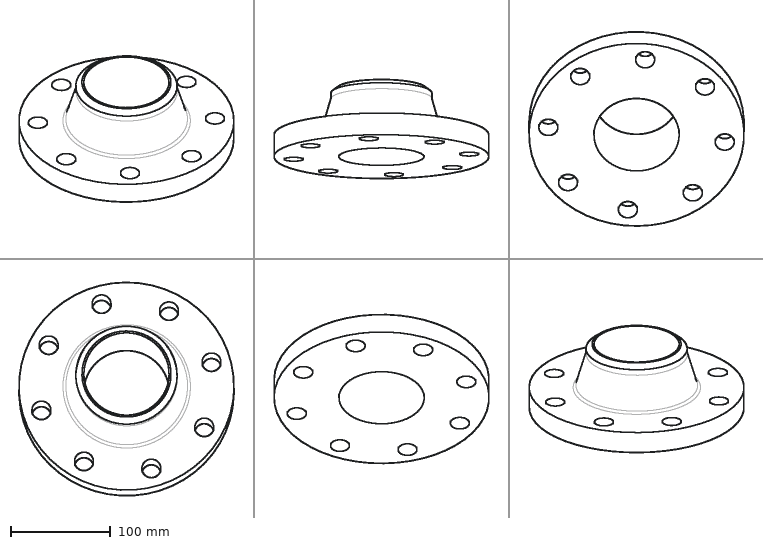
import cadquery as cq


FLANGE_DIAMETER = 215.8
FLANGE_THICKNESS = 22.2

TOTAL_HEIGHT = 70.0
BORE_DIAMETER = 85.5
PIPE_DIAMETER = 101.7
HUB_BASE_DIAMETER = 123.5
CONE_TOP_HEIGHT = 59.4
ROOT_FILLET = 3.0

BEVEL_HEIGHT = 4.7
BEVEL_TOP_DIAMETER = 89.4

BOLT_COUNT = 8
BOLT_CIRCLE_DIAMETER = 177.9
BOLT_HOLE_DIAMETER = 19.0


def make_body():
    """Revolve the half section of the plate and neck, bore included."""
    bore_radius = BORE_DIAMETER / 2
    flange_radius = FLANGE_DIAMETER / 2
    pipe_radius = PIPE_DIAMETER / 2
    section = (
        cq.Workplane("XZ")
        .moveTo(bore_radius, 0)
        .lineTo(flange_radius, 0)
        .lineTo(flange_radius, FLANGE_THICKNESS)
        .lineTo(HUB_BASE_DIAMETER / 2, FLANGE_THICKNESS)
        .lineTo(pipe_radius, CONE_TOP_HEIGHT)
        .lineTo(pipe_radius, TOTAL_HEIGHT - BEVEL_HEIGHT)
        .lineTo(BEVEL_TOP_DIAMETER / 2, TOTAL_HEIGHT)
        .lineTo(bore_radius, TOTAL_HEIGHT)
        .close()
    )
    return section.revolve(360, (0, 0, 0), (0, 1, 0))


def fillet_neck_root(body):
    """Round the inner corner where the cone meets the plate."""
    hub_radius = HUB_BASE_DIAMETER / 2
    root_edge = cq.selectors.BoxSelector(
        (-hub_radius - ROOT_FILLET, -hub_radius - ROOT_FILLET, FLANGE_THICKNESS - ROOT_FILLET),
        (hub_radius + ROOT_FILLET, hub_radius + ROOT_FILLET, FLANGE_THICKNESS + ROOT_FILLET),
        boundingbox=True,
    )
    return body.edges(root_edge).fillet(ROOT_FILLET)


def make_bolt_holes():
    """Cylinders for the bolt holes, the first one on +X."""
    return (
        cq.Workplane("XY")
        .polarArray(BOLT_CIRCLE_DIAMETER / 2, 0, 360, BOLT_COUNT)
        .circle(BOLT_HOLE_DIAMETER / 2)
        .extrude(FLANGE_THICKNESS)
    )


result = fillet_neck_root(make_body()).cut(make_bolt_holes())